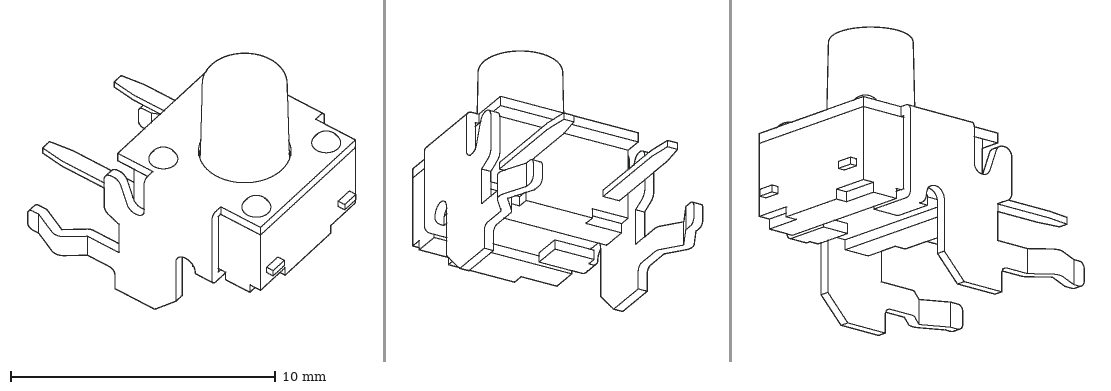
import cadquery as cq
import math


HOUSING_SIZE = 5.98
HOUSING_HEIGHT = 3.3
CHANNEL_WIDTH = 2.66
CORNER_NOTCH_LENGTH = 0.51
FOOT_HALF_WIDTH = 1.44

PIN_TIP_X = -7.7
PIN_TAIL_X = 3.3
PIN_SPACING = 4.51
PIN_WIDTH = 0.7
PIN_TIP_WIDTH = 0.44
PIN_TAPER_LENGTH = 1.01
PIN_THICKNESS = 0.28
PIN_Z = 1.18

SHEET = 0.4
BEND_RADIUS = 0.24
COVER_TOP = HOUSING_HEIGHT + SHEET
COVER_HALF_WIDTH = 3.54
LEG_INNER_Y = COVER_HALF_WIDTH - SHEET
PLATE_FRONT_X = -3.76
BUTTON_HOLE_DIAMETER = 3.5
DOME_SPACING = 4.4
DOME_DIAMETER = 1.1
DOME_HEIGHT = 0.4

WING_FRONT_X = -2.1
WING_REAR_X = 1.11
TAB_FRONT_X = -3.99
TAB_TOP_Z = 2.99
TAB_HEEL_Z = 0.99
SLOT_BOTTOM_Z = 1.66
TAB_RADIUS = 0.37
TAB_FLAT = 0.07
NECK_X = -3.29
NECK_TOP_Z = 0.66
LEG_REAR_X = -0.59
LEG_BOTTOM_Z = -2.82
LEG_FRONT_X = -3.49
LEG_BOTTOM_REAR_X = -1.6
RELIEF_RADIUS = 0.45
RELIEF_CENTRE_X = LEG_REAR_X + RELIEF_RADIUS
FLAP_NECK_X = RELIEF_CENTRE_X + RELIEF_RADIUS
FLAP_FRONT_X = -0.1

ARM_TOP_Z = -0.81
ARM_BOTTOM_Z = -1.82
ARM_TIP_X = -7.5
ARM_CORNER_RADIUS = 0.25
ARM_TIP_INNER_Y = 3.29
ARM_TIP_BEND_X = -6.89
ARM_PEAK = (-5.78, 3.83)
ARM_ROOT_BEND_X = -4.92
ARM_PEAK_RADIUS = 0.52
ARM_ROOT_BEND_RADIUS = 0.37

BUTTON_TOP = 7.36
BUTTON_BASE_DIAMETER = 3.39
BUTTON_TOP_DIAMETER = 3.21
BUTTON_EDGE_RADIUS = 0.15


def block(x_range, y_range, z_range):
    """Box spanning the given (low, high) ranges."""
    lengths = [high - low for low, high in (x_range, y_range, z_range)]
    return cq.Workplane().box(*lengths, centered=False).translate((x_range[0], y_range[0], z_range[0]))


def make_pin(y):
    """Flat pin through the housing with a tapered tip at its front end."""
    taper_end = PIN_TIP_X + PIN_TAPER_LENGTH
    outline = [
        (PIN_TIP_X, y - PIN_TIP_WIDTH / 2),
        (taper_end, y - PIN_WIDTH / 2),
        (PIN_TAIL_X, y - PIN_WIDTH / 2),
        (PIN_TAIL_X, y + PIN_WIDTH / 2),
        (taper_end, y + PIN_WIDTH / 2),
        (PIN_TIP_X, y + PIN_TIP_WIDTH / 2),
    ]
    bottom = cq.Workplane().workplane(offset=PIN_Z - PIN_THICKNESS / 2)
    return bottom.polyline(outline).close().extrude(PIN_THICKNESS)


def make_housing():
    """Square housing with an underside channel, notched lower corners and two pins."""
    half = HOUSING_SIZE / 2
    body = block((-half, half), (-half, half), (0, HOUSING_HEIGHT))
    body = body.cut(block((-CHANNEL_WIDTH / 2, CHANNEL_WIDTH / 2), (-half, half), (0, SHEET)))
    notch_inner_x = half - CORNER_NOTCH_LENGTH
    for x_range in ((-half, -notch_inner_x), (notch_inner_x, half)):
        for y_range in ((-half, -FOOT_HALF_WIDTH), (FOOT_HALF_WIDTH, half)):
            body = body.cut(block(x_range, y_range, (0, SHEET)))
    for side in (-1, 1):
        body = body.union(make_pin(side * PIN_SPACING / 2))
    return body


def make_leg_plate():
    """Flat +Y side leg with its tab, slot and bend relief; its top and bottom edges are bent round."""
    tab_z = TAB_TOP_Z - TAB_RADIUS
    tab_front_centre_x = TAB_FRONT_X + TAB_RADIUS
    tab_rear_centre_x = tab_front_centre_x + TAB_FLAT
    slot_z = SLOT_BOTTOM_Z + TAB_RADIUS
    slot_rear_centre_x = WING_FRONT_X - TAB_RADIUS
    slot_front_centre_x = slot_rear_centre_x - TAB_FLAT

    run = slot_front_centre_x - tab_rear_centre_x
    drop = tab_z - slot_z
    spread = math.asin(2 * TAB_RADIUS / math.hypot(run, drop))
    lean = math.pi / 2 - math.atan2(drop, run) - spread
    reach_x = TAB_RADIUS * math.cos(lean)
    reach_z = TAB_RADIUS * math.sin(lean)
    tab_end = (tab_rear_centre_x + reach_x, tab_z + reach_z)
    slot_start = (slot_front_centre_x - reach_x, slot_z - reach_z)

    leg = (
        cq.Workplane("XZ", origin=(0, COVER_HALF_WIDTH, 0))
        .moveTo(WING_FRONT_X, COVER_TOP)
        .lineTo(WING_REAR_X, COVER_TOP)
        .lineTo(WING_REAR_X, 0)
        .lineTo(FLAP_NECK_X, 0)
        .lineTo(FLAP_NECK_X, BEND_RADIUS)
        .threePointArc((RELIEF_CENTRE_X, BEND_RADIUS + RELIEF_RADIUS), (LEG_REAR_X, BEND_RADIUS))
        .lineTo(LEG_REAR_X, ARM_BOTTOM_Z)
        .lineTo(LEG_BOTTOM_REAR_X, LEG_BOTTOM_Z)
        .lineTo(LEG_FRONT_X, LEG_BOTTOM_Z)
        .lineTo(LEG_FRONT_X, ARM_BOTTOM_Z - ARM_CORNER_RADIUS)
        .radiusArc((LEG_FRONT_X - ARM_CORNER_RADIUS, ARM_BOTTOM_Z), -ARM_CORNER_RADIUS)
        .lineTo(LEG_FRONT_X - ARM_CORNER_RADIUS, ARM_TOP_Z)
        .lineTo(NECK_X, ARM_TOP_Z)
        .lineTo(NECK_X, NECK_TOP_Z)
        .lineTo(TAB_FRONT_X, TAB_HEEL_Z)
        .lineTo(TAB_FRONT_X, tab_z)
        .radiusArc((tab_front_centre_x, TAB_TOP_Z), TAB_RADIUS)
        .lineTo(tab_rear_centre_x, TAB_TOP_Z)
        .radiusArc(tab_end, TAB_RADIUS)
        .lineTo(*slot_start)
        .radiusArc((slot_front_centre_x, SLOT_BOTTOM_Z), -TAB_RADIUS)
        .lineTo(slot_rear_centre_x, SLOT_BOTTOM_Z)
        .radiusArc((WING_FRONT_X, slot_z), -TAB_RADIUS)
        .close()
        .extrude(SHEET)
    )
    heel = cq.selectors.NearestToPointSelector((TAB_FRONT_X, LEG_INNER_Y + SHEET / 2, TAB_HEEL_Z))
    return leg.edges("|Y").edges(heel).fillet(TAB_RADIUS)


def make_arm():
    """Spring arm of the +Y leg: a strip kinked outwards, with a rounded tip."""
    inner = [
        (ARM_TIP_X, ARM_TIP_INNER_Y),
        (ARM_TIP_BEND_X, ARM_TIP_INNER_Y),
        ARM_PEAK,
        (ARM_ROOT_BEND_X, LEG_INNER_Y),
        (LEG_FRONT_X, LEG_INNER_Y),
    ]
    slopes = [math.atan2(b[1] - a[1], b[0] - a[0]) for a, b in zip(inner, inner[1:])]
    slopes = [slopes[0]] + slopes + [slopes[-1]]
    outer = []
    for (x, y), before, after in zip(inner, slopes, slopes[1:]):
        middle = (before + after) / 2
        reach = SHEET / math.cos((after - before) / 2)
        outer.append((x - reach * math.sin(middle), y + reach * math.cos(middle)))

    arm = (
        cq.Workplane()
        .workplane(offset=ARM_BOTTOM_Z)
        .polyline(inner + outer[::-1])
        .close()
        .extrude(ARM_TOP_Z - ARM_BOTTOM_Z)
    )
    arm = arm.edges("|Z").edges(">Y").fillet(ARM_PEAK_RADIUS)
    middle_z = (ARM_TOP_Z + ARM_BOTTOM_Z) / 2
    root_bend = cq.selectors.NearestToPointSelector((ARM_ROOT_BEND_X, LEG_INNER_Y, middle_z))
    arm = arm.edges("|Z").edges(root_bend).fillet(ARM_ROOT_BEND_RADIUS)
    return arm.faces("<X").edges("|Y").fillet(ARM_CORNER_RADIUS)


def make_leg():
    """Complete +Y side of the cover: wing, leg, spring arm and the flap bent under the housing."""
    wing = block((WING_FRONT_X, WING_REAR_X), (0, COVER_HALF_WIDTH), (HOUSING_HEIGHT, COVER_TOP))
    flap = block((FLAP_FRONT_X, WING_REAR_X), (FOOT_HALF_WIDTH, LEG_INNER_Y), (0, SHEET))
    leg = make_leg_plate().union(wing).union(flap)
    bend_x = (FLAP_NECK_X + WING_REAR_X) / 2
    for bend_z in (0, COVER_TOP):
        bend = cq.selectors.NearestToPointSelector((bend_x, COVER_HALF_WIDTH, bend_z))
        leg = leg.edges("|X").edges(bend).fillet(BEND_RADIUS)
    return leg.union(make_arm())


def make_dome(x, y):
    """Spherical cap standing on the cover plate."""
    radius = DOME_DIAMETER / 2
    cap = (
        cq.Workplane("XZ")
        .lineTo(radius, 0)
        .threePointArc(cap_midpoint(radius, DOME_HEIGHT), (0, DOME_HEIGHT))
        .close()
        .revolve(360, (0, 0), (0, 1))
    )
    return cap.translate((x, y, COVER_TOP))


def cap_midpoint(radius, height):
    """Point halfway along the arc from the rim to the top of a spherical cap."""
    sphere_radius = (radius ** 2 + height ** 2) / (2 * height)
    half_angle = math.asin(radius / sphere_radius) / 2
    return (
        sphere_radius * math.sin(half_angle),
        height - sphere_radius * (1 - math.cos(half_angle)),
    )


def make_cover():
    """Sheet-metal cover: top plate with domes and button hole, and two mirrored side legs."""
    half = HOUSING_SIZE / 2
    cover = block((PLATE_FRONT_X, half), (-half, half), (HOUSING_HEIGHT, COVER_TOP))
    leg = make_leg()
    cover = cover.union(leg).union(leg.mirror("XZ"))
    for x in (-DOME_SPACING / 2, DOME_SPACING / 2):
        for y in (-DOME_SPACING / 2, DOME_SPACING / 2):
            cover = cover.union(make_dome(x, y))
    hole = cq.Workplane().circle(BUTTON_HOLE_DIAMETER / 2).extrude(SHEET)
    return cover.cut(hole.translate((0, 0, HOUSING_HEIGHT)))


def make_button():
    """Tapered round button standing on the housing, inside the cover hole."""
    button = (
        cq.Workplane("XZ")
        .moveTo(0, HOUSING_HEIGHT)
        .lineTo(BUTTON_BASE_DIAMETER / 2, HOUSING_HEIGHT)
        .lineTo(BUTTON_TOP_DIAMETER / 2, BUTTON_TOP)
        .lineTo(0, BUTTON_TOP)
        .close()
        .revolve(360, (0, 0), (0, 1))
    )
    return button.faces(">Z").edges().fillet(BUTTON_EDGE_RADIUS)


housing = make_housing()
cover = make_cover()
button = make_button()

result = cq.Compound.makeCompound([housing.solids().val(), cover.solids().val(), button.solids().val()])